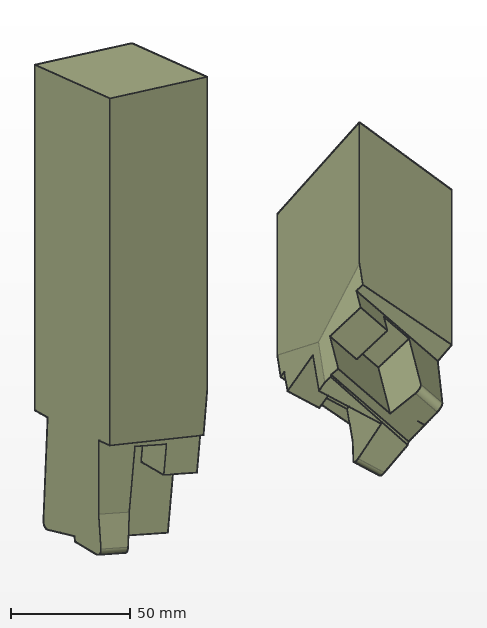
import cadquery as cq
import math

width = 55.0
thickness = 50.0
height = 207.2

flare = math.tan(math.radians(6.5))
drop = math.tan(math.radians(5.5))
clearance = 2.0
reach = 124.3
overhang = 20.7

shoulder_z = 53.7
left_neck_x = 9.3
right_neck_x = 46.6
left_lean = 3.8
right_lean = 6.5
bend_z = 21.1
corner_radius = 3.1

step_x = 28.8
step_top_z = 6.5
step_bottom_z = 4.1
step_run = 0.6
left_rise = math.tan(math.radians(7.2))
right_fall = math.tan(math.radians(5.1))
step_overlap = 11.5

plate_depth = 17.8
ear_depth = 33.0
left_groove = {"top": 3.0, "ear": 15.8, "floor": 18.2}
right_groove = {"top": 3.7, "ear": 17.2, "floor": 19.9}

rear_bevel_z = 68.4


def flank_frame(neck_x, side, lean):
    """Frame at a shoulder corner: x outward, y up the flank, z to the rear."""
    angle = math.radians(lean)
    rearward = cq.Vector(side * flare, 1, -drop).normalized()
    up_flank = cq.Vector(-side * math.sin(angle), 0, math.cos(angle))
    across = up_flank.cross(rearward).normalized()
    outward = across if across.x * side > 0 else across * -1
    return cq.Plane(cq.Vector(neck_x, 0, shoulder_z), outward, rearward)


def relief_cut(outline, side):
    """Prism from an XZ outline, drifting sideways and down towards the rear."""
    start_y = -clearance
    points = [cq.Vector(x + side * flare * start_y, start_y, z - drop * start_y) for x, z in outline]
    wire = cq.Wire.makePolygon(points, close=True)
    direction = cq.Vector(side * flare, 1, -drop) * reach
    return cq.Workplane(obj=cq.Solid.extrudeLinear(wire, [], direction))


def frame_box(frame, x_range, y_range, z_range):
    """Box given by its ranges in a flank frame; y follows the upward sense."""
    up = 1 if frame.yDir.z > 0 else -1
    return (
        cq.Workplane(frame)
        .workplane(offset=z_range[0])
        .center(sum(x_range) / 2, up * sum(y_range) / 2)
        .rect(x_range[1] - x_range[0], y_range[1] - y_range[0])
        .extrude(z_range[1] - z_range[0])
    )


def groove(frame, sizes):
    """L-shaped side groove leaving a front plate, a web and a rear ear."""
    across = (-sizes["floor"], reach)
    slot = frame_box(frame, across, (-reach, -sizes["top"]), (plate_depth, ear_depth))
    below_ear = frame_box(frame, across, (-reach, -sizes["ear"]), (plate_depth, reach))
    return slot.union(below_ear)


def rear_bevel(frame, outer_x):
    """Everything behind the plane square to the flank's rearward direction."""
    start = cq.Vector(outer_x, thickness, rear_bevel_z)
    depth = (start - frame.origin).dot(frame.zDir)
    return frame_box(frame, (-reach, reach), (-reach, reach), (depth, depth + reach))


left_frame = flank_frame(left_neck_x, -1, left_lean)
right_frame = flank_frame(right_neck_x, 1, 0)

body = cq.Workplane().box(width, thickness, height + overhang, centered=False)
body = body.translate((0, 0, -overhang))

left_tan = math.tan(math.radians(left_lean))
left_outline = [
    (left_neck_x, shoulder_z),
    (left_neck_x - (shoulder_z + reach) * left_tan, -reach),
    (-reach, -reach),
    (-reach, shoulder_z + (left_neck_x + reach) * left_tan),
]
right_outline = [
    (right_neck_x, shoulder_z),
    (right_neck_x, bend_z),
    (right_neck_x + (bend_z + reach) * math.tan(math.radians(right_lean)), -reach),
    (width + reach, -reach),
    (width + reach, shoulder_z),
]

lower_step_x = step_x + step_run
left_underside = [
    (step_x, step_top_z),
    (lower_step_x, step_bottom_z),
    (lower_step_x, -2 * reach),
    (-reach, -2 * reach),
    (-reach, step_top_z - (step_x + reach) * left_rise),
]
right_start_x = lower_step_x - step_overlap
right_underside = [
    (right_start_x, step_bottom_z + step_overlap * right_fall),
    (right_start_x, -2 * reach),
    (width + reach, -2 * reach),
    (width + reach, step_bottom_z - (width + reach - lower_step_x) * right_fall),
]
for outline, side in (
    (left_outline, -1),
    (right_outline, 1),
    (left_underside, -1),
    (right_underside, 1),
):
    body = body.cut(relief_cut(outline, side))

head_corners = [
    edge
    for edge in body.edges().vals()
    if edge.Length() > thickness / 2
    and edge.Center().z < step_bottom_z
    and abs(edge.Center().x - width / 2) > width / 4
]
body = body.newObject(head_corners).fillet(corner_radius)

for frame, sizes, outer_x in (
    (left_frame, left_groove, 0),
    (right_frame, right_groove, width),
):
    body = body.cut(groove(frame, sizes))
    body = body.cut(rear_bevel(frame, outer_x))

result = body